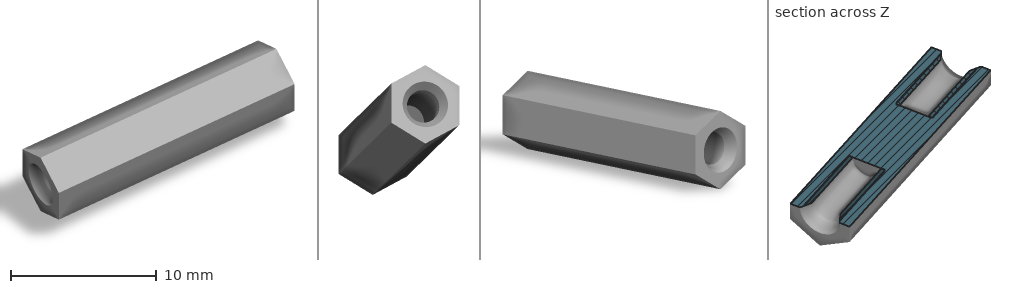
import cadquery as cq
import math

length = 19.05
across_flats = 4.75
hexagon_sides = 6
hexagon_half_angle = 180 / hexagon_sides
across_corners = across_flats / math.cos(math.radians(hexagon_half_angle))

thread_major_diameter = 2.85
thread_minor_diameter = 2.26
countersink_diameter = 3.17
thread_end_depth = 6.35

major_radius = thread_major_diameter / 2
minor_radius = thread_minor_diameter / 2
countersink_radius = countersink_diameter / 2

cone_included_angle = 60
cone_slope = math.tan(math.radians(cone_included_angle / 2))
countersink_depth = (countersink_radius - major_radius) / cone_slope
lead_in_depth = (countersink_radius - minor_radius) / cone_slope

front_face_y = -length / 2
countersink_end_y = front_face_y + countersink_depth
lead_in_end_y = front_face_y + lead_in_depth
floor_y = front_face_y + thread_end_depth
end_angles = (0, 180)


def revolve_about_y(profile_points):
    """Solid of revolution from (radius, Y) points in the XY plane."""
    profile = cq.Workplane("XY").polyline(profile_points).close()
    return profile.revolve(360, (0, 0, 0), (0, 1, 0))


def turn_to_end(body, angle):
    return body.rotate((0, 0, 0), (0, 0, 1), angle)


def make_socket():
    """Volume removed from one end: a blind hole with a countersunk mouth."""
    return revolve_about_y([
        (0, front_face_y),
        (countersink_radius, front_face_y),
        (major_radius, countersink_end_y),
        (major_radius, floor_y),
        (0, floor_y),
    ])


def make_standoff():
    body = (
        cq.Workplane("XZ")
        .polygon(hexagon_sides, across_corners)
        .extrude(length / 2, both=True)
        .rotate((0, 0, 0), (0, 1, 0), hexagon_half_angle)
    )
    for angle in end_angles:
        body = body.cut(turn_to_end(make_socket(), angle))
    return body


def make_thread_sleeve():
    """Ring filling the hole between thread major and minor diameters."""
    return revolve_about_y([
        (major_radius, countersink_end_y),
        (minor_radius, lead_in_end_y),
        (minor_radius, floor_y),
        (major_radius, floor_y),
    ])


standoff = make_standoff()

thread_sleeves = []
for end_angle in end_angles:
    thread_sleeves.append(turn_to_end(make_thread_sleeve(), end_angle).val())

result = cq.Compound.makeCompound([standoff.val(), *thread_sleeves])